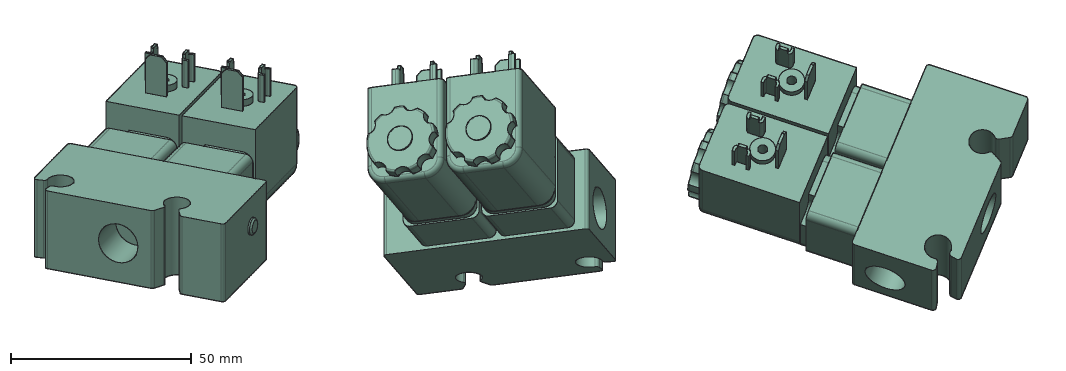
import cadquery as cq
import math

BLOCK_LENGTH = 59.9
BLOCK_DEPTH = 30.05
BLOCK_HEIGHT = 24.0
BLOCK_EDGE_RADIUS = 1.0

PORT_DIAMETER = 11.8
PORT_DEPTH = 12.0
FRONT_PORT_X = 27.95
FRONT_PORT_Z = BLOCK_HEIGHT / 2
SIDE_PORT_Y = 20.1
SIDE_PORT_Z = 10.05

NOTCH_DIAMETER = 7.45
NOTCH_Y = 7.2
CORNER_NOTCH_X = 7.45
CORNER_NOTCH_DIRECTION = 225
CORNER_NOTCH_HALF_ANGLE = 35
CORNER_NOTCH_APEX_OFFSET = 1.2
FRONT_NOTCH_X = 42.5
FRONT_NOTCH_DIRECTION = 270
FRONT_NOTCH_HALF_ANGLE = 30
FRONT_NOTCH_APEX_OFFSET = 0

PLUG_DIAMETER = 5.0
PLUG_HEIGHT = 1.05
PLUG_CHAMFER = 0.6
PLUG_Y = 18.95
PLUG_Z = 15.0

VALVE_X = 15.1
VALVE_PITCH = 22.9
VALVE_COUNT = 2
VALVE_WIDTH = 22.1
VALVE_AXIS_Z = BLOCK_HEIGHT / 2

BODY_HEIGHT = 21.95
BODY_END_Y = 44.95
BODY_EDGE_RADIUS = 2.0

NECK_END_Y = 46.8
NECK_WIDTH = 21.1
NECK_CORNER_RADIUS = 3.5
NECK_NOTCH_WIDTH = 6.5
NECK_NOTCH_HEIGHT = 6.5
NECK_NOTCH_RADIUS = 3.0

COIL_END_Y = 76.95
COIL_BOTTOM_Z = 1.3
COIL_TOP_Z = 30.05
COIL_LOWER_RADIUS = 5.3
COIL_BACK_RADIUS = 1.45

NUT_DIAMETER = 19.9
NUT_END_Y = 80.5
NUT_EDGE_RADIUS = 0.65
FLUTE_COUNT = 9
FLUTE_DIAMETER = 5.0
FLUTE_HALF_ANGLE = 12.5
FIRST_FLUTE_ANGLE = 27.5
STUD_DIAMETER = 7.2
STUD_END_Y = 81.0

BOSS_Y = 61.9
BOSS_DIAMETER = 7.2
BOSS_HEIGHT = 2.0
SCREW_HOLE_DIAMETER = 2.7
SCREW_HOLE_DEPTH = 8.1
DRILL_TIP_ANGLE = 118

BLADE_Y = 56.45
BLADE_WIDTH = 6.3
BLADE_THICKNESS = 0.8
BLADE_TOP_Z = 42.0
BLADE_CHAMFER = 1.45

CHANNEL_Y = 66.0
CHANNEL_WIDTH = 5.0
CHANNEL_INNER_OFFSET = 4.4
CHANNEL_OUTER_OFFSET = 6.5
CHANNEL_THICKNESS = 0.8
CHANNEL_OUTSIDE_RADIUS = 1.0
CHANNEL_INSIDE_RADIUS = 0.3
CHANNEL_TOP_Z = 38.4
TONGUE_WIDTH = 2.7
TONGUE_TOP_Z = 39.85
TONGUE_CHAMFER = 0.25


def box_between(x_range, y_range, z_range):
    """Box given by its two limits along each axis."""
    (x0, x1), (y0, y1), (z0, z1) = x_range, y_range, z_range
    return cq.Workplane("XY").box(x1 - x0, y1 - y0, z1 - z0, centered=False).translate((x0, y0, z0))


def cylinder_along_y(x, z, diameter, y_start, y_end):
    """Cylinder with its axis along Y."""
    face = cq.Workplane("XZ", origin=(x, y_start, z)).circle(diameter / 2)
    return face.extrude(-(y_end - y_start))


def notch_cutter(x, direction, half_angle, apex_offset):
    """Round hole with a wedge opening; the wedge apex lies ahead of the hole centre by the offset."""
    reach = BLOCK_DEPTH / 2
    half_width = reach * math.tan(math.radians(half_angle))
    wedge = (
        cq.Workplane("XY")
        .polyline([(apex_offset, 0), (apex_offset + reach, half_width), (apex_offset + reach, -half_width)])
        .close()
        .extrude(BLOCK_HEIGHT)
    )
    hole = cq.Workplane("XY").circle(NOTCH_DIAMETER / 2).extrude(BLOCK_HEIGHT)
    return hole.union(wedge).rotate((0, 0, 0), (0, 0, 1), direction).translate((x, NOTCH_Y, 0))


def make_block():
    """Block with mounting notches, two blind ports and a plug."""
    block = box_between((0, BLOCK_LENGTH), (0, BLOCK_DEPTH), (0, BLOCK_HEIGHT))
    block = block.cut(
        notch_cutter(
            CORNER_NOTCH_X, CORNER_NOTCH_DIRECTION, CORNER_NOTCH_HALF_ANGLE, CORNER_NOTCH_APEX_OFFSET
        )
    )
    block = block.cut(
        notch_cutter(FRONT_NOTCH_X, FRONT_NOTCH_DIRECTION, FRONT_NOTCH_HALF_ANGLE, FRONT_NOTCH_APEX_OFFSET)
    )
    block = block.edges("|Z").fillet(BLOCK_EDGE_RADIUS)

    front_port = cylinder_along_y(FRONT_PORT_X, FRONT_PORT_Z, PORT_DIAMETER, 0, PORT_DEPTH)
    side_port = (
        cq.Workplane("YZ", origin=(0, SIDE_PORT_Y, SIDE_PORT_Z))
        .circle(PORT_DIAMETER / 2)
        .extrude(PORT_DEPTH)
    )
    plug = (
        cq.Workplane("YZ", origin=(BLOCK_LENGTH, PLUG_Y, PLUG_Z))
        .circle(PLUG_DIAMETER / 2)
        .extrude(PLUG_HEIGHT)
        .faces(">X")
        .chamfer(PLUG_CHAMFER)
    )
    return block.cut(front_port).cut(side_port).union(plug)


def make_body():
    """Valve body with rounded long edges, between block and neck."""
    body = box_between(
        (-VALVE_WIDTH / 2, VALVE_WIDTH / 2),
        (BLOCK_DEPTH, BODY_END_Y),
        (VALVE_AXIS_Z - BODY_HEIGHT / 2, VALVE_AXIS_Z + BODY_HEIGHT / 2),
    )
    return body.edges("|Y").fillet(BODY_EDGE_RADIUS)


def make_neck():
    """Rounded square neck with one upper corner notched out."""
    half = NECK_WIDTH / 2
    y_range = (BODY_END_Y, NECK_END_Y)
    top = VALVE_AXIS_Z + half
    neck = box_between((-half, half), y_range, (VALVE_AXIS_Z - half, top))
    neck = neck.edges("|Y").fillet(NECK_CORNER_RADIUS)
    notch = box_between((-half, NECK_NOTCH_WIDTH - half), y_range, (top - NECK_NOTCH_HEIGHT, top))
    notch = notch.edges("|Y and >X and <Z").fillet(NECK_NOTCH_RADIUS)
    return neck.cut(notch)


def make_coil():
    """Coil housing, rounded along its lower sides and around its back."""
    half = VALVE_WIDTH / 2
    coil = box_between((-half, half), (NECK_END_Y, COIL_END_Y), (COIL_BOTTOM_Z, COIL_TOP_Z))
    coil = coil.edges("|Y and <Z").fillet(COIL_LOWER_RADIUS)
    return coil.faces(">Y").edges("not >Z").fillet(COIL_BACK_RADIUS)


def make_nut():
    """Fluted round nut and the stud end that shows in its middle."""
    nut = cylinder_along_y(0, VALVE_AXIS_Z, NUT_DIAMETER, COIL_END_Y, NUT_END_Y)
    nut = nut.faces(">Y").edges().fillet(NUT_EDGE_RADIUS)

    nut_radius = NUT_DIAMETER / 2
    half_angle = math.radians(FLUTE_HALF_ANGLE)
    half_chord = nut_radius * math.sin(half_angle)
    chord_to_centre = math.sqrt((FLUTE_DIAMETER / 2) ** 2 - half_chord**2)
    flute_distance = nut_radius * math.cos(half_angle) + chord_to_centre
    for index in range(FLUTE_COUNT):
        angle = math.radians(FIRST_FLUTE_ANGLE + index * 360 / FLUTE_COUNT)
        x = flute_distance * math.cos(angle)
        z = VALVE_AXIS_Z + flute_distance * math.sin(angle)
        nut = nut.cut(cylinder_along_y(x, z, FLUTE_DIAMETER, COIL_END_Y, NUT_END_Y))

    stud = cylinder_along_y(0, VALVE_AXIS_Z, STUD_DIAMETER, COIL_END_Y, STUD_END_Y)
    return nut.union(stud)


def make_boss():
    """Screw boss on the coil top."""
    return (
        cq.Workplane("XY", origin=(0, BOSS_Y, COIL_TOP_Z)).circle(BOSS_DIAMETER / 2).extrude(BOSS_HEIGHT)
    )


def screw_hole_cutter():
    """Blind drilled hole with a conical tip, down from the boss top."""
    radius = SCREW_HOLE_DIAMETER / 2
    tip_height = radius / math.tan(math.radians(DRILL_TIP_ANGLE / 2))
    return (
        cq.Workplane("XZ", origin=(0, BOSS_Y, COIL_TOP_Z + BOSS_HEIGHT))
        .polyline([(0, 0), (radius, 0), (radius, -SCREW_HOLE_DEPTH), (0, -SCREW_HOLE_DEPTH - tip_height)])
        .close()
        .revolve(360, (0, 0, 0), (0, 1, 0))
    )


def make_blade():
    """Flat earth contact with clipped upper corners."""
    blade = box_between(
        (-BLADE_WIDTH / 2, BLADE_WIDTH / 2),
        (BLADE_Y - BLADE_THICKNESS / 2, BLADE_Y + BLADE_THICKNESS / 2),
        (COIL_TOP_Z, BLADE_TOP_Z),
    )
    return blade.edges("|Y and >Z").chamfer(BLADE_CHAMFER)


def make_channel():
    """U-shaped contact on the +X side, open outwards, with a tongue above its web."""
    y_low = CHANNEL_Y - CHANNEL_WIDTH / 2
    y_high = CHANNEL_Y + CHANNEL_WIDTH / 2
    web_outside = CHANNEL_INNER_OFFSET + CHANNEL_THICKNESS
    z_range = (COIL_TOP_Z, CHANNEL_TOP_Z)

    channel = box_between((CHANNEL_INNER_OFFSET, CHANNEL_OUTER_OFFSET), (y_low, y_high), z_range)
    channel = channel.edges("|Z and <X").fillet(CHANNEL_OUTSIDE_RADIUS)
    groove = box_between(
        (web_outside, CHANNEL_OUTER_OFFSET),
        (y_low + CHANNEL_THICKNESS, y_high - CHANNEL_THICKNESS),
        z_range,
    )
    groove = groove.edges("|Z and <X").fillet(CHANNEL_INSIDE_RADIUS)

    tongue = box_between(
        (CHANNEL_INNER_OFFSET, web_outside),
        (CHANNEL_Y - TONGUE_WIDTH / 2, CHANNEL_Y + TONGUE_WIDTH / 2),
        (COIL_TOP_Z, TONGUE_TOP_Z),
    )
    tongue = tongue.edges("|X and >Z").chamfer(TONGUE_CHAMFER)
    return channel.cut(groove).union(tongue)


def make_valve():
    """Complete valve with its axis at X = 0."""
    valve = make_body().union(make_neck()).union(make_coil()).union(make_nut())
    valve = valve.union(make_boss()).cut(screw_hole_cutter())
    channel = make_channel()
    return valve.union(make_blade()).union(channel).union(channel.mirror("YZ"))


result = make_block()
valve = make_valve()
for valve_index in range(VALVE_COUNT):
    result = result.union(valve.translate((VALVE_X + valve_index * VALVE_PITCH, 0, 0)))